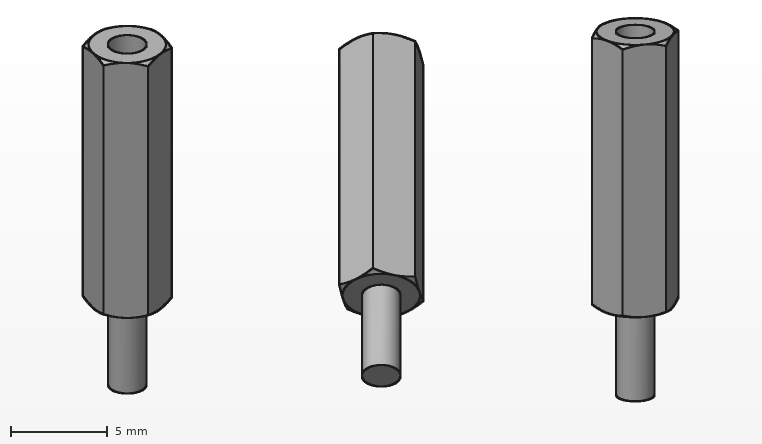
import cadquery as cq
import math

hexagon_sides = 6
across_flats = 4.0
spacer_length = 15.0
stud_length = 5.0
thread_diameter = 2.0
chamfer_angle = 30.0

across_corners = across_flats / math.cos(math.pi / hexagon_sides)
corner_radius = across_corners / 2
end_face_radius = across_flats / 2
chamfer_height = (corner_radius - end_face_radius) * math.tan(math.radians(chamfer_angle))
bore_depth = stud_length


def make_chamfer_envelope():
    """Round blank with conical ends, which bevels the hexagon corners."""
    return (
        cq.Workplane("XZ")
        .moveTo(0, 0)
        .lineTo(end_face_radius, 0)
        .lineTo(corner_radius, chamfer_height)
        .lineTo(corner_radius, spacer_length - chamfer_height)
        .lineTo(end_face_radius, spacer_length)
        .lineTo(0, spacer_length)
        .close()
        .revolve(360, (0, 0, 0), (0, 1, 0))
    )


def make_spacer():
    """Hexagonal spacer with corners on the Y axis and a blind bore in its top."""
    hexagon = (
        cq.Workplane("XY")
        .transformed(rotate=(0, 0, 90))
        .polygon(hexagon_sides, across_corners)
        .extrude(spacer_length)
    )
    bore = (
        cq.Workplane("XY")
        .workplane(offset=spacer_length)
        .circle(thread_diameter / 2)
        .extrude(-bore_depth)
    )
    return hexagon.intersect(make_chamfer_envelope()).cut(bore)


def make_stud():
    """Plain cylindrical stud that meets the bottom face of the spacer."""
    return cq.Workplane("XY").circle(thread_diameter / 2).extrude(-stud_length)


spacer = make_spacer().solids()
stud = make_stud()

result = cq.Compound.makeCompound([spacer.val(), stud.val()])